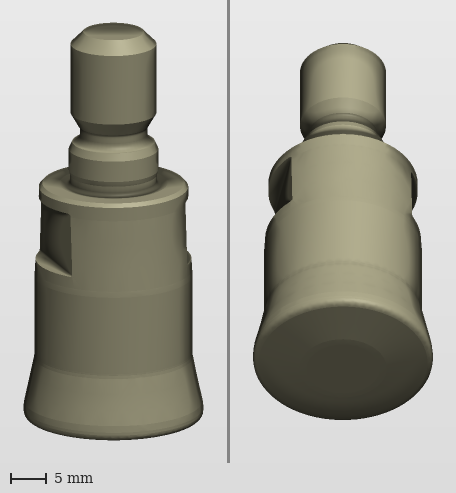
import cadquery as cq

total_height = 57.0
split_z = 10.5
taper_start_z = 21.6
taper_blend_z = 22.45
collar_bottom_z = 32.55
collar_chamfer_z = 34.5
collar_top_z = 35.0

shank_radius = 22.0 / 2
taper_bottom_radius = 10.95
collar_radius = 20.8 / 2
collar_face_radius = 9.9

countersink_radius = 7.5
root_radius = 6.65
root_depth = 0.15
root_top_z = 35.4

pilot_neck_radius = 12.1 / 2
pilot_radius = 12.5 / 2
groove_radius = 9.4 / 2
stud_radius = 11.95 / 2
pilot_neck_top_z = 36.25
pilot_bottom_z = 37.0
pilot_top_z = 39.95
pilot_shoulder_radius = 5.75
groove_bottom_z = 42.05
groove_top_z = 43.0
groove_cone_radius = 4.9
groove_cone_z = 43.4
stud_bottom_z = 45.25
stud_chamfer = 1.75

flat_distance = 17.0
flat_bottom_z = 24.05
flat_top_z = 33.0
flat_corner_fillet = 0.3

head_radius = 25.0 / 2
head_neck_z = 10.05
head_neck_fillet = 2.3
head_cone_z = 2.9
head_cone_fillet = 4.55
head_rim_z = 1.25
head_rim_fillet = 0.9
head_face_radius = 5.6
head_face_fillet = 5.7


def make_cutting_head():
    """Flared revolved head with a rounded rim and a shallow conical underside."""
    profile = (
        cq.Workplane("XZ")
        .moveTo(0, 0)
        .lineTo(head_face_radius, 0)
        .lineTo(head_radius, head_rim_z)
        .lineTo(head_radius, head_cone_z)
        .lineTo(shank_radius, head_neck_z)
        .lineTo(shank_radius, split_z)
        .lineTo(0, split_z)
        .close()
    )
    head = profile.revolve(360, (0, 0, 0), (0, 1, 0))
    corner_fillets = [
        (head_neck_z, head_neck_fillet),
        (head_cone_z, head_cone_fillet),
        (head_rim_z, head_rim_fillet),
        (0, head_face_fillet),
    ]
    for height, fillet in corner_fillets:
        corner_edge = cq.selectors.NearestToPointSelector((0, 0, height))
        head = head.edges("%CIRCLE").edges(corner_edge).fillet(fillet)
    return head


def make_turned_shank():
    """Revolved shank: cylinder, taper, collar, pilot, relief groove and stud."""
    pilot_shoulder_z = groove_bottom_z - (pilot_shoulder_radius - groove_radius)
    profile = (
        cq.Workplane("XZ")
        .moveTo(0, split_z)
        .lineTo(shank_radius, split_z)
        .lineTo(shank_radius, taper_start_z)
        .tangentArcPoint((taper_bottom_radius, taper_blend_z), relative=False)
        .lineTo(collar_radius, collar_bottom_z)
        .lineTo(collar_radius, collar_chamfer_z)
        .lineTo(collar_face_radius, collar_top_z)
        .lineTo(countersink_radius, collar_top_z)
        .lineTo(root_radius, collar_top_z - root_depth)
        .tangentArcPoint((pilot_neck_radius, root_top_z), relative=False)
        .lineTo(pilot_neck_radius, pilot_neck_top_z)
        .lineTo(pilot_radius, pilot_bottom_z)
        .lineTo(pilot_radius, pilot_top_z)
        .lineTo(pilot_shoulder_radius, pilot_shoulder_z)
        .radiusArc((groove_radius, groove_bottom_z), pilot_shoulder_radius - groove_radius)
        .lineTo(groove_radius, groove_top_z)
        .tangentArcPoint((groove_cone_radius, groove_cone_z), relative=False)
        .lineTo(stud_radius, stud_bottom_z)
        .lineTo(stud_radius, total_height - stud_chamfer)
        .lineTo(stud_radius - stud_chamfer, total_height)
        .lineTo(0, total_height)
        .close()
    )
    return profile.revolve(360, (0, 0, 0), (0, 1, 0))


def make_flat_cutter(side):
    """Block that mills one wrench flat, with rounded inner corners; side is -1 or +1."""
    cutter_depth = shank_radius
    cutter_height = flat_top_z - flat_bottom_z
    center_y = side * (flat_distance + cutter_depth) / 2
    block = (
        cq.Workplane("XY")
        .box(2 * shank_radius, cutter_depth, cutter_height)
        .translate((0, center_y, (flat_top_z + flat_bottom_z) / 2))
    )
    inner_face = ">Y" if side < 0 else "<Y"
    return block.faces(inner_face).edges("|X").fillet(flat_corner_fillet)


def make_shank():
    """Turned shank with both wrench flats milled into its taper."""
    shank = make_turned_shank()
    for side in (-1, 1):
        shank = shank.cut(make_flat_cutter(side))
    return shank.solids()


cutting_head = make_cutting_head()
shank = make_shank()
result = cq.Compound.makeCompound([cutting_head.val(), shank.val()])